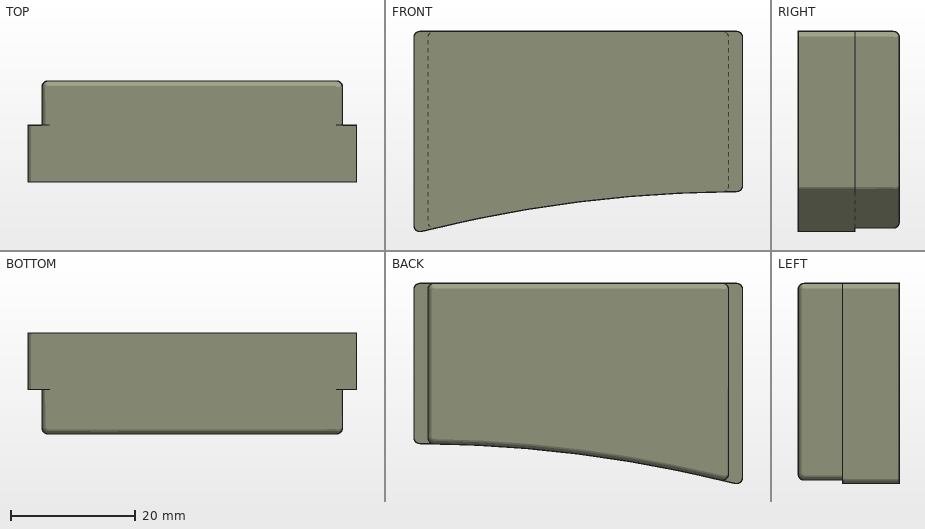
import cadquery as cq
import math

width = 53.0
body_depth = 16.3
flange_depth = 9.15
side_step = 2.3
edge_radius = 1.0

right_height = 25.85
underside_radius = 212.0


def underside_z(x):
    """Height of the underside at x; the top face lies at z = 0, the right end at x = width."""
    from_right = width - x
    drop = underside_radius - math.sqrt(underside_radius**2 - from_right**2)
    return -right_height - drop


def arched_block(x_left, x_right, y_front, y_back):
    """Block with a flat top, the arched underside and rounded edges along Y."""
    x_middle = (x_left + x_right) / 2
    outline = (
        cq.Workplane("XZ", origin=(0, y_front, 0))
        .moveTo(x_left, 0)
        .lineTo(x_right, 0)
        .lineTo(x_right, underside_z(x_right))
        .threePointArc((x_middle, underside_z(x_middle)), (x_left, underside_z(x_left)))
        .close()
    )
    return outline.extrude(y_front - y_back).edges("|Y").fillet(edge_radius)


flange = arched_block(0, width, 0, flange_depth)

body = arched_block(side_step, width - side_step, 0, body_depth)
body = body.faces(">Y").edges().fillet(edge_radius)

result = flange.union(body)